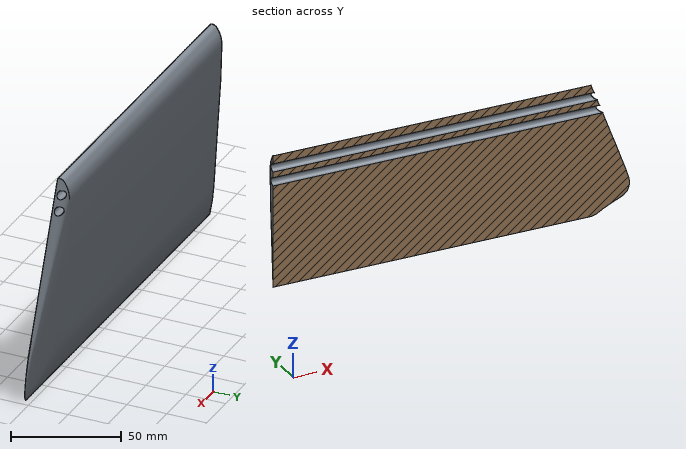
import cadquery as cq

span = 195.2
thickness = 6.0
chord = 98.6
half_chord = chord / 2

nose_height = 1.2
nose_offset = 1.0
crown_depth = 9.5
shoulder = (4.1, 2.1)
taper_points = [(5.5, 28.5), (4.3, 47.5), (3.1, 66.8), (2.0, 84.5), (0.8, 94.5)]
trailing_direction = (-0.2, -1)

top_length = 160.7
sweep_end = (188.6, 70.3)
tip_bend = (193.9, 86.7)
tip_depth = 95.0
bottom_length = 194.0
corner_middle = (194.9, 97.2)

hole_diameter = 4.0
hole_offset = 3.1
first_hole_depth = 7.0
hole_spacing = 7.0


def height(depth):
    """Z of a point at the given depth below the leading edge."""
    return half_chord - depth


def at_depth(point):
    """Turn a (coordinate, depth) pair into a (coordinate, Z) pair."""
    return point[0], height(point[1])


def section(station, leading_depth):
    """Airfoil wire at X = station, shrunk toward the trailing edge to start at leading_depth."""
    scale = (chord - leading_depth) / chord

    def place(offset, depth):
        return offset * scale, height(chord - (chord - depth) * scale)

    taper = [place(*point) for point in taper_points]
    trailing_edge = place(0, chord)
    return (
        cq.Workplane("YZ", origin=(station, 0, 0))
        .moveTo(*trailing_edge)
        .lineTo(*place(0, nose_height))
        .threePointArc(place(nose_offset / 4, nose_height / 4), place(nose_offset, 0))
        .spline(
            [place(*shoulder), place(thickness, crown_depth)],
            tangents=[(1, 0), (0, -1)],
            includeCurrent=True,
        )
        .spline(
            taper + [trailing_edge],
            tangents=[(0, -1), trailing_direction],
            includeCurrent=True,
        )
        .close()
        .wire()
        .val()
    )


def make_blade():
    """Constant section up to the sweep, then a section that shrinks along the swept tip."""
    root, sweep_start = section(0, 0), section(top_length, 0)
    swept_end = section(*sweep_end)
    tip_sections = [section(*station) for station in [sweep_end, tip_bend, (span, tip_depth)]]
    straight = cq.Solid.makeLoft([root, sweep_start], True)
    swept = cq.Solid.makeLoft([sweep_start, swept_end], True)
    tip = cq.Solid.makeLoft(tip_sections, False)
    return cq.Workplane(straight).union(cq.Workplane(swept)).union(cq.Workplane(tip))


def make_corner():
    """Sliver outside the rounded corner between the tip and the trailing edge."""
    corner_start = (bottom_length, height(chord))
    return (
        cq.Workplane("XZ")
        .moveTo(span, height(tip_depth))
        .threePointArc(at_depth(corner_middle), corner_start)
        .lineTo(span, height(chord))
        .close()
        .extrude(-thickness)
    )


def make_holes():
    """Two parallel holes along the whole span, near the leading edge."""
    depths = [first_hole_depth, first_hole_depth + hole_spacing]
    centers = [(hole_offset, height(depth)) for depth in depths]
    return cq.Workplane("YZ").pushPoints(centers).circle(hole_diameter / 2).extrude(span)


result = make_blade().cut(make_corner()).cut(make_holes())